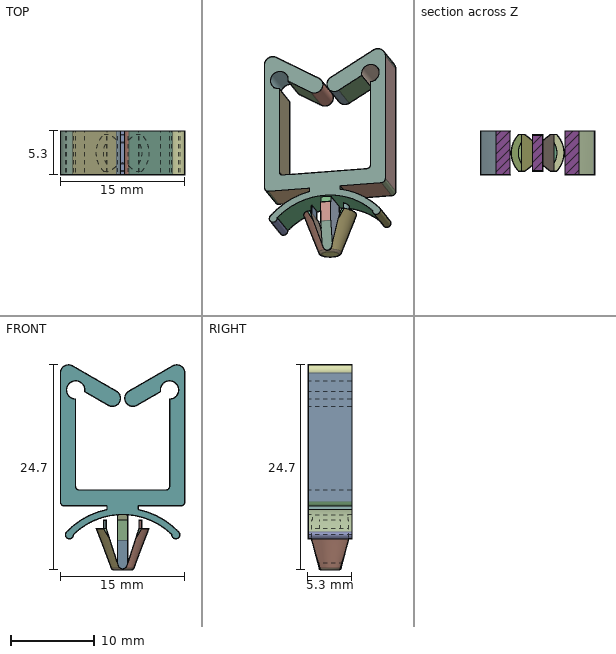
import cadquery as cq
import math

width = 15.0
half_width = width / 2
depth = 5.3
height = 24.73
base_bottom = 7.72
floor_top = 9.65
wall = 1.85
outer_fillet = 0.5
inner_fillet = 0.45

arm_radius = 1.0
arm_angle = math.radians(30)
arm_tip_gap = 0.25
hinge_radius = 1.1
hinge_z = 21.7

neck_half_width = 1.9
strip_top_radius = 9.32
strip_bottom_radius = 8.5
strip_bottom_apex = 6.68
strip_tip_radius = 0.5
strip_tip_x = 6.4

barb_top = 5.0
barb_top_radius = 3.2
barb_bottom_radius = 1.29
barb_bottom_fillet = 0.37
pin_width = 1.25
pin_half_depth = 2.23
pin_tip_half_depth = 1.19
pin_taper_top = 3.59
pin_neck_step = 0.1
groove_bottom = 0.15
groove_bottom_radius = 0.55
groove_top_half_width = 1.95
tab_top = 6.0
tab_radius = 2.32

overlap = 0.25


def extrude_profile(sketch, length):
    """Extrude an XZ sketch symmetrically about Y = 0."""
    return sketch.extrude(length / 2, both=True)


def box_between(x_half, y_half, z_low, z_high):
    """Box centred on the Z axis between two heights."""
    return (
        cq.Workplane("XY").workplane(offset=z_low)
        .rect(2 * x_half, 2 * y_half).extrude(z_high - z_low)
    )


def mirrored_pair(body):
    return body.union(body.mirror("YZ"))


def cylinder_along_y(x, z, radius):
    return extrude_profile(cq.Workplane("XZ").center(x, z).circle(radius), depth)


def make_closing_arm():
    """Round-ended bar from the upper frame corner down to its tip."""
    corner_x = half_width - arm_radius
    corner_z = height - arm_radius
    tip_x = arm_tip_gap + arm_radius
    tip_z = corner_z - (corner_x - tip_x) * math.tan(arm_angle)
    normal_x = arm_radius * math.sin(arm_angle)
    normal_z = arm_radius * math.cos(arm_angle)
    bar = extrude_profile(
        cq.Workplane("XZ").polyline([
            (corner_x - normal_x, corner_z + normal_z),
            (tip_x - normal_x, tip_z + normal_z),
            (tip_x + normal_x, tip_z - normal_z),
            (corner_x + normal_x, corner_z - normal_z),
        ]).close(), depth)
    return (
        bar.union(cylinder_along_y(corner_x, corner_z, arm_radius))
        .union(cylinder_along_y(tip_x, tip_z, arm_radius))
    )


def make_frame():
    wall_top = height - arm_radius
    inner_half_width = half_width - wall
    outer = box_between(half_width, depth / 2, base_bottom, wall_top)
    outer = outer.edges("|Y and <Z").fillet(outer_fillet)
    opening = box_between(inner_half_width, depth, floor_top, height)
    opening = opening.edges("|Y and <Z").fillet(inner_fillet)
    corner_fill = extrude_profile(
        cq.Workplane("XZ").polyline([
            (inner_half_width, hinge_z),
            (inner_half_width, wall_top),
            (inner_half_width - hinge_radius, wall_top),
            (inner_half_width - hinge_radius, hinge_z),
        ]).close(), depth)
    arm = make_closing_arm().union(corner_fill)
    hinge = cylinder_along_y(inner_half_width, hinge_z, hinge_radius)
    frame = outer.cut(opening).union(mirrored_pair(arm))
    return frame.cut(mirrored_pair(hinge))


def make_spring_strip():
    """Concentric arc strip with rounded tips, tied to the base by a neck."""
    centre_z = strip_bottom_apex - strip_bottom_radius
    tip_reach = strip_top_radius - strip_tip_radius
    tip_angle = math.asin(strip_tip_x / tip_reach)

    def arc_point(radius, angle):
        return radius * math.sin(angle), centre_z + radius * math.cos(angle)

    strip = extrude_profile(
        cq.Workplane("XZ").moveTo(*arc_point(strip_top_radius, -tip_angle))
        .threePointArc(arc_point(strip_top_radius, 0), arc_point(strip_top_radius, tip_angle))
        .lineTo(*arc_point(strip_bottom_radius, tip_angle))
        .threePointArc(arc_point(strip_bottom_radius, 0), arc_point(strip_bottom_radius, -tip_angle))
        .close(), depth)
    tip = cylinder_along_y(*arc_point(tip_reach, tip_angle), strip_tip_radius)
    neck_bottom = strip_bottom_apex + overlap
    neck = box_between(neck_half_width, depth / 2, neck_bottom, base_bottom + overlap)
    return strip.union(mirrored_pair(tip)).union(neck)


def make_groove():
    """V groove, round at the bottom, that separates the two barb wings."""
    centre_z = groove_bottom + groove_bottom_radius
    rise = barb_top - centre_z
    reach = math.hypot(groove_top_half_width, rise)
    tangent_angle = math.atan2(rise, groove_top_half_width) - math.acos(groove_bottom_radius / reach)
    tangent_x = groove_bottom_radius * math.cos(tangent_angle)
    tangent_z = centre_z + groove_bottom_radius * math.sin(tangent_angle)
    return extrude_profile(
        cq.Workplane("XZ").moveTo(-tangent_x, tangent_z)
        .threePointArc((0, groove_bottom), (tangent_x, tangent_z))
        .lineTo(groove_top_half_width, barb_top)
        .lineTo(groove_top_half_width, tab_top + overlap)
        .lineTo(-groove_top_half_width, tab_top + overlap)
        .lineTo(-groove_top_half_width, barb_top)
        .close(), depth)


def make_barb():
    """Conical snap wings with upright tabs, split by a tapered centre pin."""
    cone = (
        cq.Workplane("XY").circle(barb_bottom_radius)
        .workplane(offset=barb_top).circle(barb_top_radius).loft()
        .faces("<Z").edges().fillet(barb_bottom_fillet)
    )
    tab_base = barb_top - overlap
    tabs = cq.Workplane("XY").workplane(offset=tab_base).circle(tab_radius).extrude(tab_top - tab_base)
    flats = box_between(half_width, pin_half_depth, 0, tab_top)
    envelope = cone.union(tabs).intersect(flats)
    wings = envelope.cut(make_groove())

    lower_pin = (
        cq.Workplane("YZ").polyline([
            (-pin_tip_half_depth, groove_bottom),
            (pin_tip_half_depth, groove_bottom),
            (pin_half_depth, pin_taper_top),
            (pin_half_depth, tab_top),
            (-pin_half_depth, tab_top),
            (-pin_half_depth, pin_taper_top),
        ]).close().extrude(pin_width / 2, both=True)
        .intersect(envelope)
    )
    neck_half_depth = pin_half_depth - pin_neck_step
    pin_neck = box_between(
        pin_width / 2, neck_half_depth, tab_top - overlap, strip_bottom_apex + overlap)
    return wings.union(lower_pin).union(pin_neck)


result = make_frame().union(make_spring_strip()).union(make_barb())